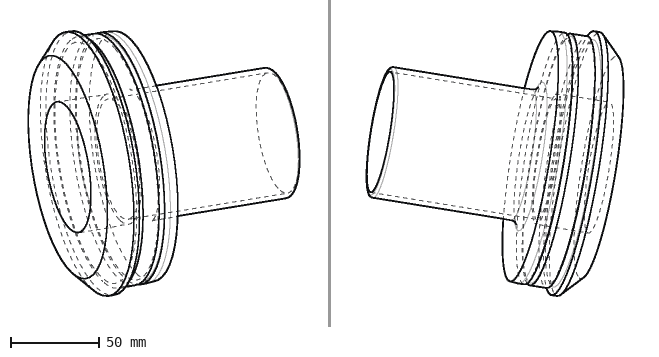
import cadquery as cq
import math

total_length = 126.5
bevel_end = 11.7
rim_end = 15.0
front_groove_end = 18.5
land_end = 28.2
rear_groove_end = 31.5
taper_start = 34.8
flange_end = 39.7
tube_start = 44.8

rim_radius = 75.7
front_face_radius = rim_radius - 11.8
body_radius = 144.4 / 2
taper_end_radius = body_radius - 0.5
tube_radius = 75.0 / 2

fillet_radius = tube_start - flange_end

groove_depth = 3.0

end_round_radius = 1.5

bore_radius = 69.0 / 2
socket_radius = 75.0 / 2
socket_depth = 30.3
socket_taper_start = 19.8
socket_floor_radius = socket_radius - 0.2


def cut_through_groove(profile, start, end):
    """Continue the outline along one ring groove with a half-round floor."""
    floor_radius = (end - start) / 2
    wall_end = body_radius - groove_depth + floor_radius
    return (
        profile.lineTo(wall_end, start)
        .threePointArc((body_radius - groove_depth, (start + end) / 2), (wall_end, end))
        .lineTo(body_radius, end)
    )


profile = (
    cq.Workplane("XY")
    .moveTo(socket_radius, 0)
    .lineTo(front_face_radius, 0)
    .lineTo(rim_radius, bevel_end)
    .lineTo(rim_radius, rim_end)
    .lineTo(body_radius, rim_end)
)
profile = cut_through_groove(profile, rim_end, front_groove_end)
profile = profile.lineTo(body_radius, land_end)
profile = cut_through_groove(profile, land_end, rear_groove_end)

fillet_mid_offset = fillet_radius * (1 - math.sqrt(0.5))
profile = (
    profile.lineTo(body_radius, taper_start)
    .lineTo(taper_end_radius, flange_end)
    .lineTo(tube_radius + fillet_radius, flange_end)
    .threePointArc(
        (tube_radius + fillet_mid_offset, flange_end + fillet_mid_offset),
        (tube_radius, tube_start),
    )
)

end_round_mid_offset = end_round_radius * (1 - math.sqrt(0.5))
profile = (
    profile.lineTo(tube_radius, total_length - end_round_radius)
    .threePointArc(
        (tube_radius - end_round_mid_offset, total_length - end_round_mid_offset),
        (tube_radius - end_round_radius, total_length),
    )
    .lineTo(bore_radius, total_length)
    .lineTo(bore_radius, socket_depth)
    .lineTo(socket_floor_radius, socket_depth)
    .lineTo(socket_radius, socket_taper_start)
    .close()
)

result = profile.revolve(360, (0, 0, 0), (0, 1, 0))